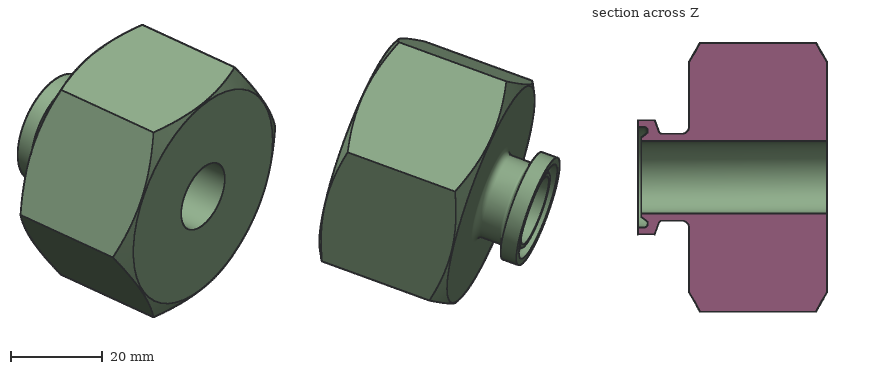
import cadquery as cq
import math

overall_length = 41.27
bore_radius = 15.75 / 2

flange_radius = 24.99 / 2
flange_rim_width = 3.7
flange_back_angle = math.radians(20)
neck_radius = 19.05 / 2
neck_front_fillet = 0.64
neck_rear_fillet = 1.52

groove_outer_radius = 21.89 / 2
groove_wall_depth = 1.35
groove_cone_angle = math.radians(37)
groove_cone_base_radius = 19.05 / 2
lip_radius = 17.4 / 2

across_flats = 50.8
nut_width = 30.15
nut_face_radius = 50.3 / 2
nut_chamfer_angle = math.radians(30)
nut_sides = 6

nut_start = overall_length - nut_width
corner_radius = across_flats / 2 / math.cos(math.pi / nut_sides)


def revolve_about_x(profile):
    """Revolve a closed profile drawn as (x, radius) about the X axis."""
    return profile.close().revolve(360, (0, 0, 0), (1, 0, 0))


def make_nut():
    """Hexagon with corners on +Y and -Y and a conical chamfer at both ends."""
    hexagon = (
        cq.Workplane("YZ", origin=(nut_start, 0, 0))
        .polygon(nut_sides, 2 * corner_radius)
        .extrude(nut_width)
    )
    chamfer_length = (corner_radius - nut_face_radius) * math.tan(nut_chamfer_angle)
    envelope = revolve_about_x(
        cq.Workplane("XY")
        .moveTo(nut_start, 0)
        .lineTo(nut_start, nut_face_radius)
        .lineTo(nut_start + chamfer_length, corner_radius)
        .lineTo(overall_length - chamfer_length, corner_radius)
        .lineTo(overall_length, nut_face_radius)
        .lineTo(overall_length, 0)
    )
    return hexagon.intersect(envelope)


def make_flange_and_neck():
    """Flange with a tapered back, blended into the neck and the nut face."""
    taper_end = flange_rim_width + (flange_radius - neck_radius) * math.tan(flange_back_angle)

    blend_turn = math.pi / 2 - flange_back_angle
    blend_reach = neck_front_fillet * math.tan(blend_turn / 2)
    blend_start_x = taper_end - blend_reach * math.sin(flange_back_angle)
    blend_start_radius = neck_radius + blend_reach * math.cos(flange_back_angle)
    blend_end_x = taper_end + blend_reach
    blend_mid_x = blend_end_x - neck_front_fillet * math.sin(blend_turn / 2)
    blend_mid_radius = neck_radius + neck_front_fillet * (1 - math.cos(blend_turn / 2))

    rear_start_x = nut_start - neck_rear_fillet
    rear_mid_x = rear_start_x + neck_rear_fillet * math.sin(math.pi / 4)
    rear_mid_radius = neck_radius + neck_rear_fillet * (1 - math.cos(math.pi / 4))

    return revolve_about_x(
        cq.Workplane("XY")
        .lineTo(0, flange_radius)
        .lineTo(flange_rim_width, flange_radius)
        .lineTo(blend_start_x, blend_start_radius)
        .threePointArc((blend_mid_x, blend_mid_radius), (blend_end_x, neck_radius))
        .lineTo(rear_start_x, neck_radius)
        .threePointArc(
            (rear_mid_x, rear_mid_radius),
            (nut_start, neck_radius + neck_rear_fillet),
        )
        .lineTo(nut_start, 0)
    )


def make_face_recess():
    """Gasket groove: straight outer wall, rounded floor and a conical inner wall."""
    floor_radius = (groove_outer_radius - groove_cone_base_radius) / (1 + math.cos(groove_cone_angle))
    cone_base_x = groove_wall_depth + floor_radius * math.sin(groove_cone_angle)
    cone_length = (groove_cone_base_radius - lip_radius) / math.tan(groove_cone_angle)
    lip_x = cone_base_x - cone_length

    return revolve_about_x(
        cq.Workplane("XY")
        .lineTo(0, groove_outer_radius)
        .lineTo(groove_wall_depth, groove_outer_radius)
        .tangentArcPoint((cone_base_x, groove_cone_base_radius), relative=False)
        .lineTo(lip_x, lip_radius)
        .lineTo(lip_x, 0)
    )


def make_bore():
    """Round passage through the whole fitting."""
    return cq.Workplane("YZ").circle(bore_radius).extrude(overall_length)


result = (
    make_nut()
    .union(make_flange_and_neck())
    .cut(make_face_recess())
    .cut(make_bore())
)